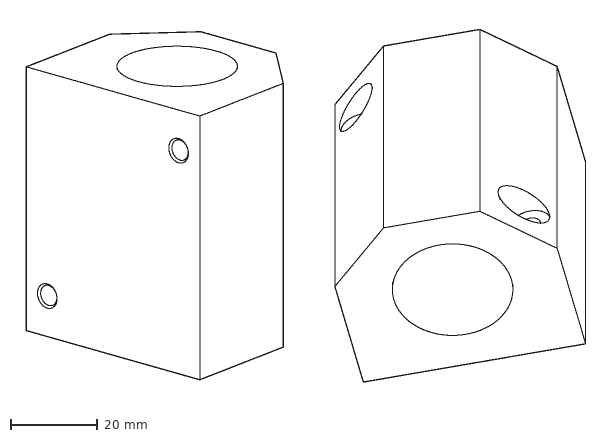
import cadquery as cq

width = 53.0
depth = 45.0
height = 65.0
corner_cut = 15.0

bore_diameter = 28.0
bore_from_front = 23.0

screw_x = 20.0
screw_z = 22.5
screw_diameter = 4.95
mouth_diameter = 6.0
mouth_chamfer = (mouth_diameter - screw_diameter) / 2

head_diameter = 10.0
head_floor_from_front = depth - corner_cut

front_y = -depth / 2
rear_y = depth / 2


def make_block():
    """Upright block with both rear vertical edges cut at 45 degrees."""
    block = cq.Workplane("XY").box(width, depth, height)
    return block.faces(">Y").edges("|Z").chamfer(corner_cut)


def make_bore():
    """Cutter for the vertical bore."""
    bore = cq.Workplane("XY").circle(bore_diameter / 2).extrude(height / 2, both=True)
    return bore.translate((0, front_y + bore_from_front, 0))


def make_screw_hole(x, z):
    """Cutter for one screw hole with a chamfered mouth and a rear head recess."""
    front = cq.Workplane("XZ", origin=(x, front_y, z))
    shank = front.circle(screw_diameter / 2).extrude(-depth)
    mouth = cq.Workplane(
        cq.Solid.makeCone(
            mouth_diameter / 2,
            screw_diameter / 2,
            mouth_chamfer,
            cq.Vector(x, front_y, z),
            cq.Vector(0, 1, 0),
        )
    )
    floor_y = front_y + head_floor_from_front
    recess_plane = cq.Workplane("XZ", origin=(x, floor_y, z))
    recess = recess_plane.circle(head_diameter / 2).extrude(floor_y - rear_y)
    return shank.union(mouth).union(recess)


result = make_block().cut(make_bore())
for side in (-1, 1):
    result = result.cut(make_screw_hole(side * screw_x, side * screw_z))